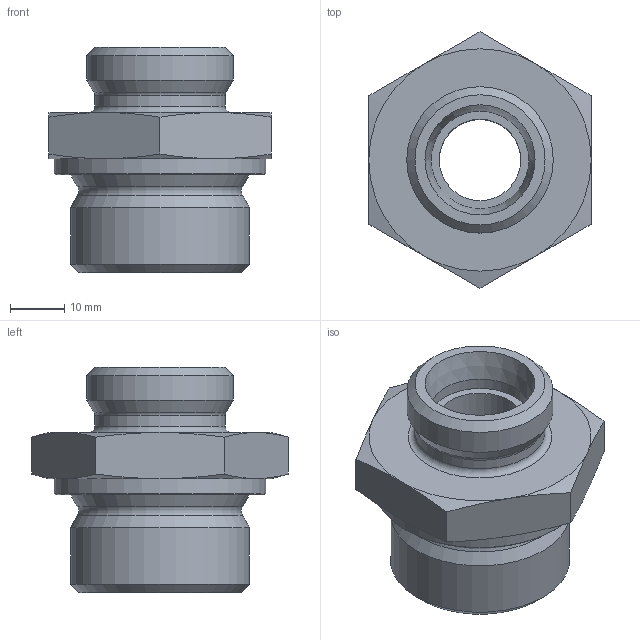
import cadquery as cq
import math

TOTAL_HEIGHT = 41.5
HEX_BOTTOM = 21.0
HEX_TOP = 29.5
COLLAR_BOTTOM = 18.0
GROOVE_CENTER = 15.0

HEX_ACROSS_FLATS = 41.0
HEX_SIDES = 6
HEX_CHAMFER_ANGLE = 15.0

STUD_RADIUS = 33.0 / 2
STUD_CHAMFER = 1.5
COLLAR_RADIUS = 39.0 / 2
COLLAR_CHAMFER = 0.2
GROOVE_RADIUS = 15.0
GROOVE_FILLET = 1.6

TOP_STUD_RADIUS = 27.0 / 2
TOP_STUD_CHAMFER = 1.5
TOP_STUD_LENGTH = 6.0
NECK_RADIUS = 24.0 / 2
NECK_RUNOUT_FILLET = 1.0
NECK_ROOT_FILLET = 1.2
RUNOUT_ANGLE = 30.0

BORE_RADIUS = 15.0 / 2
SOCKET_RADIUS = 18.0 / 2
SOCKET_DEPTH = 7.5
CONE_MOUTH_RADIUS = 20.3 / 2
CONE_HALF_ANGLE = 12.0


def tangent(degrees):
    return math.tan(math.radians(degrees))


def revolved(profile):
    """Solid of revolution about Z from a closed profile in the XZ plane."""
    return profile.revolve(360, (0, 0), (0, 1))


def lower_body():
    """Lower stud with its rounded V groove and the sealing collar."""
    flank = math.radians(RUNOUT_ANGLE)
    arc_half_height = GROOVE_FILLET * math.sin(flank)
    arc_end_radius = GROOVE_RADIUS + GROOVE_FILLET * (1 - math.cos(flank))
    flank_height = (STUD_RADIUS - arc_end_radius) / tangent(RUNOUT_ANGLE)
    stud_top = GROOVE_CENTER - arc_half_height - flank_height
    upper_flank_height = COLLAR_BOTTOM - GROOVE_CENTER - arc_half_height
    upper_flank_radius = arc_end_radius + upper_flank_height * tangent(RUNOUT_ANGLE)
    profile = (
        cq.Workplane("XZ")
        .moveTo(0, 0)
        .lineTo(STUD_RADIUS - STUD_CHAMFER, 0)
        .lineTo(STUD_RADIUS, STUD_CHAMFER)
        .lineTo(STUD_RADIUS, stud_top)
        .lineTo(arc_end_radius, GROOVE_CENTER - arc_half_height)
        .threePointArc(
            (GROOVE_RADIUS, GROOVE_CENTER),
            (arc_end_radius, GROOVE_CENTER + arc_half_height),
        )
        .lineTo(upper_flank_radius, COLLAR_BOTTOM)
        .lineTo(COLLAR_RADIUS - COLLAR_CHAMFER, COLLAR_BOTTOM)
        .lineTo(COLLAR_RADIUS, COLLAR_BOTTOM + COLLAR_CHAMFER)
        .lineTo(COLLAR_RADIUS, HEX_BOTTOM)
        .lineTo(0, HEX_BOTTOM)
        .close()
    )
    return revolved(profile)


def hexagon():
    """Hexagon with two flats facing X and conically chamfered corners."""
    corner_diameter = HEX_ACROSS_FLATS / math.cos(math.pi / HEX_SIDES)
    prism = (
        cq.Workplane("XY", origin=(0, 0, HEX_BOTTOM))
        .transformed(rotate=(0, 0, 90))
        .polygon(HEX_SIDES, corner_diameter)
        .extrude(HEX_TOP - HEX_BOTTOM)
    )
    flat_radius = HEX_ACROSS_FLATS / 2
    envelope_radius = corner_diameter
    chamfer_height = (envelope_radius - flat_radius) * tangent(HEX_CHAMFER_ANGLE)
    envelope = (
        cq.Workplane("XZ")
        .moveTo(0, HEX_BOTTOM)
        .lineTo(flat_radius, HEX_BOTTOM)
        .lineTo(envelope_radius, HEX_BOTTOM + chamfer_height)
        .lineTo(envelope_radius, HEX_TOP - chamfer_height)
        .lineTo(flat_radius, HEX_TOP)
        .lineTo(0, HEX_TOP)
        .close()
    )
    return prism.intersect(revolved(envelope))


def upper_body():
    """Upper stud with its conical run-out and filleted neck."""
    stud_bottom = TOTAL_HEIGHT - TOP_STUD_LENGTH
    flank = math.radians(RUNOUT_ANGLE)
    neck_top = stud_bottom - (TOP_STUD_RADIUS - NECK_RADIUS) / tangent(RUNOUT_ANGLE)
    tangent_length = NECK_RUNOUT_FILLET * math.tan(flank / 2)
    fillet_start = neck_top - tangent_length
    arc_center_radius = NECK_RADIUS + NECK_RUNOUT_FILLET

    def runout_point(angle):
        return (
            arc_center_radius - NECK_RUNOUT_FILLET * math.cos(angle),
            fillet_start + NECK_RUNOUT_FILLET * math.sin(angle),
        )

    root_offset = NECK_ROOT_FILLET * (1 - math.sqrt(0.5))
    profile = (
        cq.Workplane("XZ")
        .moveTo(0, HEX_TOP)
        .lineTo(NECK_RADIUS + NECK_ROOT_FILLET, HEX_TOP)
        .threePointArc(
            (NECK_RADIUS + root_offset, HEX_TOP + root_offset),
            (NECK_RADIUS, HEX_TOP + NECK_ROOT_FILLET),
        )
        .lineTo(NECK_RADIUS, fillet_start)
        .threePointArc(runout_point(flank / 2), runout_point(flank))
        .lineTo(TOP_STUD_RADIUS, stud_bottom)
        .lineTo(TOP_STUD_RADIUS, TOTAL_HEIGHT - TOP_STUD_CHAMFER)
        .lineTo(TOP_STUD_RADIUS - TOP_STUD_CHAMFER, TOTAL_HEIGHT)
        .lineTo(0, TOTAL_HEIGHT)
        .close()
    )
    return revolved(profile)


def bore():
    """Through bore, tube socket and conical mouth as one cutting body."""
    socket_floor = TOTAL_HEIGHT - SOCKET_DEPTH
    cone_depth = (CONE_MOUTH_RADIUS - SOCKET_RADIUS) / tangent(CONE_HALF_ANGLE)
    profile = (
        cq.Workplane("XZ")
        .moveTo(0, 0)
        .lineTo(BORE_RADIUS, 0)
        .lineTo(BORE_RADIUS, socket_floor)
        .lineTo(SOCKET_RADIUS, socket_floor)
        .lineTo(SOCKET_RADIUS, TOTAL_HEIGHT - cone_depth)
        .lineTo(CONE_MOUTH_RADIUS, TOTAL_HEIGHT)
        .lineTo(0, TOTAL_HEIGHT)
        .close()
    )
    return revolved(profile)


result = lower_body().union(hexagon()).union(upper_body()).cut(bore())